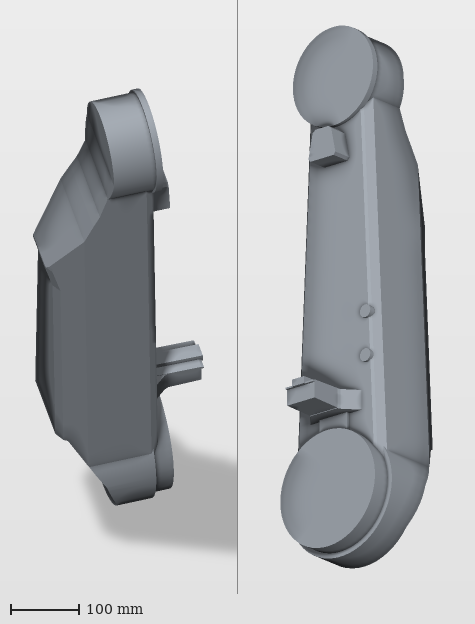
import cadquery as cq


LOWER_RADIUS = 99.435
LOWER_BACK_Y = 0
LOWER_DISC_DIAMETER = 183
LOWER_DISC_BACK_Y = 29
UPPER_Z = 650
UPPER_RADIUS = 73.5
UPPER_BACK_Y = 7
UPPER_DISC_DIAMETER = 155
UPPER_DISC_BACK_Y = 17

FRONT_Y = -150
PANEL_Y = -140
PANEL_BOTTOM_Z = 94.5
PANEL_TOP_Z = 410.5
NOSE_BOTTOM_Z = 447
NOSE_TOP_Z = 452
LOWER_FRONT_Y = -54
UPPER_FRONT_Y = -57
LOWER_SLOPE = [(LOWER_FRONT_Y, -57), (-76, 9.5), (-126, PANEL_BOTTOM_Z)]
UPPER_SLOPE = [(-100, 529), (-85.5, 556.5), (-75.5, 574.5), (-63, 609)]

HALF_WIDTH_BOTTOM = 89.1
HALF_WIDTH_TOP = 58.3
HOUSING_BACK_Y = 10
PLATE_THICKNESS = 3
PLATE_CHAMFER = 4
BACK_CHAMFER_WIDTH = 9.7
BACK_CHAMFER_DEPTH = 10.7
SLANT_START_Y = UPPER_SLOPE[0][0]
SLANT_RATIO = 0.65
EDGE_BEVEL = 9.5
SELECTION_MARGIN = 1

BRACKET_HALF_WIDTH = 26.5
BRACKET_END_Y = 89.5
BRACKET_BOTTOM_Z = 116.5
BRACKET_TOP_Z = 149
BRACKET_DRAFT = 2
LIP_END_Y = 93.5
LIP_BOTTOM_Z = 143
LIP_DROP = 1.5
RIB_WIDTH = 23
RIB_END_Y = 96
RIB_TOP_Z = 156
GUSSET_HALF_WIDTH = 49
GUSSET_KNEE_Y = 33
GUSSET_KNEE_OFFSET = 2
GUSSET_END_Y = 38
GUSSET_TOP_Z = 147.5
TAB_BACK_Y = 16.5
BLOCK_BACK_Y = 42
BLOCK_BOTTOM_Z = 514
BLOCK_TOP_Z = 562
BLOCK_BOTTOM_HALF_WIDTH = 27
BLOCK_TOP_HALF_WIDTH = 17
BLOCK_CHAMFER = 4.5
PIN_DIAMETER = 20
PIN_X = -60
PIN_BACK_Y = 14.5
PIN_HEIGHTS = (199, 268)


def cylinder_y(radius, z, y_start, y_end):
    """Cylinder along Y, centred on X = 0 at height z."""
    return (
        cq.Workplane("XZ", origin=(0, y_start, z))
        .circle(radius)
        .extrude(y_start - y_end)
    )


def side_prism(points, half_width):
    """Prism with a (Y, Z) outline, symmetric about X = 0."""
    return cq.Workplane("YZ").polyline(points).close().extrude(half_width, both=True)


def front_envelope():
    """Side outline that shapes the stepped front of the whole arm."""
    back_y = HOUSING_BACK_Y
    outline = [
        (back_y, -LOWER_RADIUS),
        (LOWER_FRONT_Y, -LOWER_RADIUS),
        *LOWER_SLOPE,
        (PANEL_Y, PANEL_BOTTOM_Z),
        (PANEL_Y, PANEL_TOP_Z),
        (FRONT_Y, NOSE_BOTTOM_Z),
        (FRONT_Y, NOSE_TOP_Z),
        *UPPER_SLOPE,
        (UPPER_FRONT_Y, UPPER_Z),
        (UPPER_FRONT_Y, UPPER_Z + UPPER_RADIUS),
        (back_y, UPPER_Z + UPPER_RADIUS),
    ]
    return side_prism(outline, LOWER_RADIUS)


def housing_section(half_width):
    """Half-width driven section: chamfered back plate, slanted front flanks."""
    front_half = half_width - SLANT_RATIO * (SLANT_START_Y - FRONT_Y)
    plate_front_y = HOUSING_BACK_Y - PLATE_THICKNESS
    plate_half = half_width - BACK_CHAMFER_WIDTH
    right = [
        (front_half, FRONT_Y),
        (half_width, SLANT_START_Y),
        (half_width, plate_front_y - BACK_CHAMFER_DEPTH),
        (plate_half, plate_front_y),
        (plate_half - PLATE_CHAMFER, HOUSING_BACK_Y),
    ]
    left = [(-x, y) for x, y in reversed(right)]
    return right + left


def housing():
    """Ruled loft that narrows from the lower end to the upper end."""
    return (
        cq.Workplane("XY")
        .polyline(housing_section(HALF_WIDTH_BOTTOM))
        .close()
        .workplane(offset=UPPER_Z)
        .polyline(housing_section(HALF_WIDTH_TOP))
        .close()
        .loft(ruled=True)
    )


def bevel_right_edge(body):
    """Bevel the +X edge of the panel and of the nose above it."""
    edges = cq.selectors.BoxSelector(
        (SELECTION_MARGIN, FRONT_Y - SELECTION_MARGIN, PANEL_BOTTOM_Z + SELECTION_MARGIN),
        (LOWER_RADIUS, PANEL_Y + SELECTION_MARGIN, NOSE_TOP_Z - SELECTION_MARGIN),
    )
    return body.edges(edges).chamfer(EDGE_BEVEL)


def arm_body():
    """Housing joined to both round ends, all trimmed to the front envelope."""
    lower_end = cylinder_y(LOWER_RADIUS, 0, FRONT_Y, LOWER_BACK_Y)
    upper_end = cylinder_y(UPPER_RADIUS, UPPER_Z, FRONT_Y, UPPER_BACK_Y)
    envelope = front_envelope()
    body = bevel_right_edge(housing().intersect(envelope))
    for end in (lower_end, upper_end):
        body = body.union(end.intersect(envelope))
    return body


def end_discs():
    lower = cylinder_y(LOWER_DISC_DIAMETER / 2, 0, LOWER_BACK_Y, LOWER_DISC_BACK_Y)
    upper = cylinder_y(UPPER_DISC_DIAMETER / 2, UPPER_Z, UPPER_BACK_Y, UPPER_DISC_BACK_Y)
    return lower.union(upper)


def bracket():
    """Drafted arm with a lip, a central rib, side gussets and a tab below."""
    plate = side_prism(
        [
            (0, BRACKET_BOTTOM_Z),
            (BRACKET_END_Y, BRACKET_BOTTOM_Z + BRACKET_DRAFT),
            (BRACKET_END_Y, LIP_BOTTOM_Z),
            (LIP_END_Y, LIP_BOTTOM_Z),
            (LIP_END_Y, BRACKET_TOP_Z - BRACKET_DRAFT - LIP_DROP),
            (BRACKET_END_Y, BRACKET_TOP_Z - BRACKET_DRAFT),
            (0, BRACKET_TOP_Z),
        ],
        BRACKET_HALF_WIDTH,
    )
    rib = side_prism(
        [
            (0, LIP_BOTTOM_Z),
            (RIB_END_Y, LIP_BOTTOM_Z),
            (RIB_END_Y, RIB_TOP_Z - BRACKET_DRAFT),
            (0, RIB_TOP_Z),
        ],
        RIB_WIDTH / 2,
    )
    gusset_side = [
        (GUSSET_HALF_WIDTH, 0),
        (GUSSET_HALF_WIDTH, HOUSING_BACK_Y),
        (BRACKET_HALF_WIDTH + GUSSET_KNEE_OFFSET, GUSSET_KNEE_Y),
        (BRACKET_HALF_WIDTH, GUSSET_END_Y),
    ]
    gussets = (
        cq.Workplane("XY", origin=(0, 0, BRACKET_BOTTOM_Z))
        .polyline(gusset_side + [(-x, y) for x, y in reversed(gusset_side)])
        .close()
        .extrude(GUSSET_TOP_Z - BRACKET_BOTTOM_Z)
    )
    tab = side_prism(
        [
            (0, 0),
            (TAB_BACK_Y, 0),
            (TAB_BACK_Y, BRACKET_BOTTOM_Z),
            (0, BRACKET_BOTTOM_Z),
        ],
        BRACKET_HALF_WIDTH,
    )
    return plate.union(rib).union(gussets).union(tab)


def upper_block():
    """Trapezoidal block with its long corners chamfered."""
    return (
        cq.Workplane("XZ")
        .polyline(
            [
                (-BLOCK_BOTTOM_HALF_WIDTH, BLOCK_BOTTOM_Z),
                (BLOCK_BOTTOM_HALF_WIDTH, BLOCK_BOTTOM_Z),
                (BLOCK_TOP_HALF_WIDTH, BLOCK_TOP_Z),
                (-BLOCK_TOP_HALF_WIDTH, BLOCK_TOP_Z),
            ]
        )
        .close()
        .extrude(-BLOCK_BACK_Y)
        .edges("|Y")
        .chamfer(BLOCK_CHAMFER)
    )


def pins():
    return (
        cq.Workplane("XZ")
        .pushPoints([(PIN_X, z) for z in PIN_HEIGHTS])
        .circle(PIN_DIAMETER / 2)
        .extrude(-PIN_BACK_Y)
    )


result = arm_body()
for feature in (end_discs(), bracket(), upper_block(), pins()):
    result = result.union(feature)